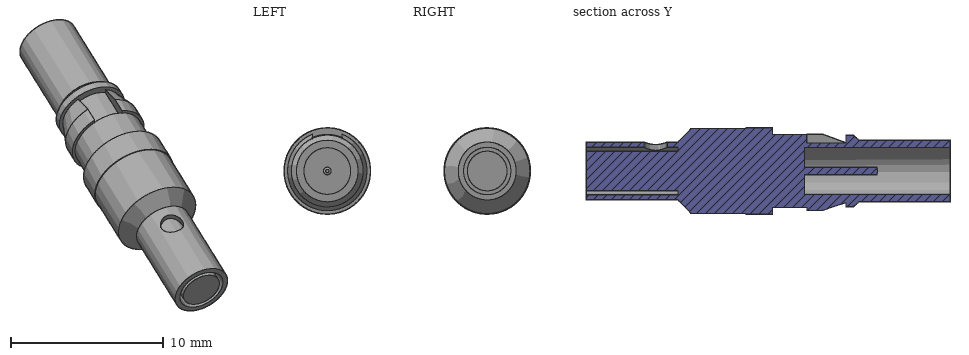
import cadquery as cq

length = 23.9
collar_start = 6.0
collar_chamfer_end = 6.35
clip_start = 6.85
clip_cone_end = 8.36
clip_end = 9.42
flange_start = 11.66
flange_end = 13.4
shoulder_start = 17.02
tail_start = 17.88

front_tube_diameter = 4.05
collar_diameter = 4.7
clip_front_diameter = 4.2
clip_diameter = 5.2
neck_diameter = 4.8
flange_diameter = 5.7
barrel_diameter = 5.6
tail_diameter = 3.8

clip_slot_width = 1.95
clip_slot_floor_diameter = 3.7

socket_diameter = 3.05
socket_depth = 9.55
pin_diameter = 0.5
pin_tip_diameter = 0.213
pin_taper_length = 0.05
pin_length = 4.78

tail_bore_diameter = 3.1
core_diameter = 2.6
inspection_hole_diameter = 1.5
inspection_hole_x = 19.34


def rod(start, end, diameter):
    """Solid cylinder on the X axis between two stations."""
    return cq.Workplane("YZ", origin=(start, 0, 0)).circle(diameter / 2).extrude(end - start)


def revolve_profile(stations):
    """Solid of revolution about X from (station, diameter) pairs."""
    radii = [(x, diameter / 2) for x, diameter in stations]
    outline = [(stations[0][0], 0)] + radii + [(stations[-1][0], 0)]
    return cq.Workplane("XY").polyline(outline).close().revolve(360, (0, 0, 0), (1, 0, 0))


def make_body():
    return revolve_profile([
        (0, front_tube_diameter),
        (collar_start, front_tube_diameter),
        (collar_chamfer_end, collar_diameter),
        (clip_start, collar_diameter),
        (clip_start, clip_front_diameter),
        (clip_cone_end, clip_diameter),
        (clip_end, clip_diameter),
        (clip_end, neck_diameter),
        (flange_start, neck_diameter),
        (flange_start, flange_diameter),
        (flange_end, flange_diameter),
        (flange_end, barrel_diameter),
        (shoulder_start, barrel_diameter),
        (tail_start, tail_diameter),
        (length, tail_diameter),
    ])


def make_clip_slot():
    """Parallel-sided opening on top of the clip, with a round floor."""
    slot = (
        cq.Workplane("XY")
        .box(clip_end - clip_start, clip_slot_width, clip_diameter, centered=(False, True, False))
        .translate((clip_start, 0, 0))
    )
    return slot.cut(rod(clip_start, clip_end, clip_slot_floor_diameter))


def make_pin():
    """Centre pin standing on the socket floor, with a tapered tip."""
    tip = socket_depth - pin_length
    return revolve_profile([
        (tip, pin_tip_diameter),
        (tip + pin_taper_length, pin_diameter),
        (socket_depth, pin_diameter),
    ])


def make_inspection_hole():
    """Radial hole through the upper tail wall only."""
    return (
        cq.Workplane("XY", origin=(inspection_hole_x, 0, 0))
        .circle(inspection_hole_diameter / 2)
        .extrude(tail_diameter)
    )


result = (
    make_body()
    .cut(make_clip_slot())
    .cut(rod(0, socket_depth, socket_diameter))
    .union(make_pin())
    .cut(rod(tail_start, length, tail_bore_diameter))
    .cut(make_inspection_hole())
    .union(rod(tail_start, length, core_diameter))
)